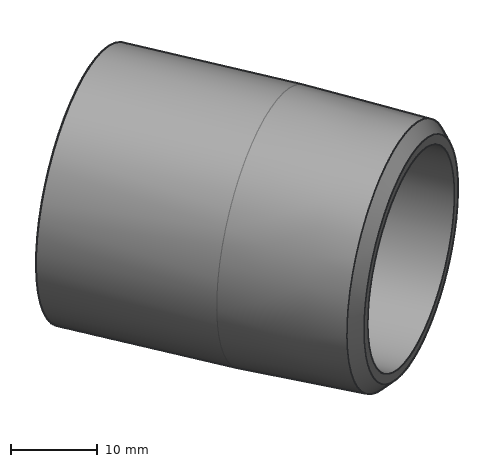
import cadquery as cq

length = 40.0
outer_radius = 33.7 / 2
bore_radius = 27.2 / 2

plain_end_chamfer = 0.1

taper_start = 22.5
tip_chamfer = 1.5
taper_end = length - tip_chamfer
taper_slope = 1 / 32
taper_end_radius = outer_radius - taper_slope * (taper_end - taper_start)
tip_radius = taper_end_radius - tip_chamfer

half_section = (
    cq.Workplane("XZ")
    .moveTo(0, bore_radius)
    .lineTo(0, outer_radius - plain_end_chamfer)
    .lineTo(plain_end_chamfer, outer_radius)
    .lineTo(taper_start, outer_radius)
    .lineTo(taper_end, taper_end_radius)
    .lineTo(length, tip_radius)
    .lineTo(length, bore_radius)
    .close()
)

result = half_section.revolve(360, (0, 0, 0), (1, 0, 0))